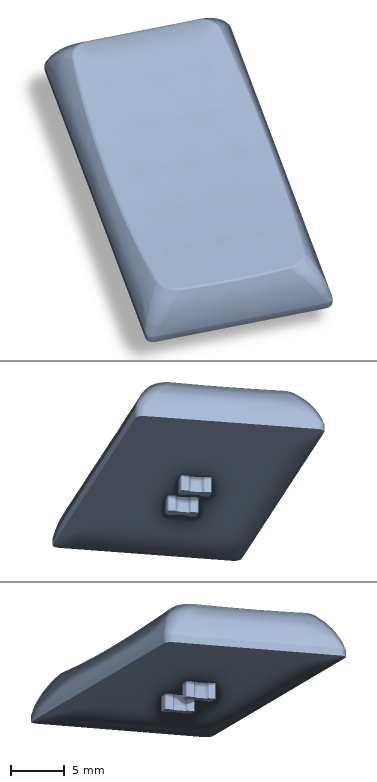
import cadquery as cq
import math

length = 37.0
width = 18.0
skirt_height = 0.7
skirt_corner_radius = 0.75

wall_foot = (0.0, skirt_height)
wall_middle = (0.7, 2.63)
wall_shoulder = (1.85, 4.15)
wall_top = 4.5
corner_radius_growth = 0.28
wall_section_count = 7

dish_floor = 3.22
dish_radius = 138.75
rim_radius = 0.3

prong_spacing = 5.65
prong_thickness = 1.22
prong_width = 2.95
prong_length = 1.48
prong_corner_radius = 0.2
waist_depth = 0.2
waist_floor_width = 1.07
waist_mouth_width = 1.48


def circle_through(first, second, third):
    """Centre and radius of the circle through three points."""
    (ax, ay), (bx, by), (cx, cy) = first, second, third
    twice_area = 2 * (ax * (by - cy) + bx * (cy - ay) + cx * (ay - by))
    a_square = ax**2 + ay**2
    b_square = bx**2 + by**2
    c_square = cx**2 + cy**2
    x = (a_square * (by - cy) + b_square * (cy - ay) + c_square * (ay - by)) / twice_area
    y = (a_square * (cx - bx) + b_square * (ax - cx) + c_square * (bx - ax)) / twice_area
    return x, y, math.hypot(ax - x, ay - y)


def rounded_rectangle(x_size, y_size, radius):
    return cq.Sketch().rect(x_size, y_size).vertices().fillet(radius)


def make_skirt():
    outline = rounded_rectangle(length, width, skirt_corner_radius)
    return cq.Workplane("XY").placeSketch(outline).extrude(skirt_height)


def make_walls():
    """Loft rounded rectangles that shrink along the wall arc as they rise."""
    centre_inset, centre_height, radius = circle_through(wall_foot, wall_middle, wall_shoulder)
    step = (wall_top - skirt_height) / (wall_section_count - 1)
    sections = []
    for index in range(wall_section_count):
        rise = index * step
        height = skirt_height + rise
        inset = centre_inset - math.sqrt(radius**2 - (height - centre_height) ** 2)
        corner_radius = skirt_corner_radius + corner_radius_growth * rise
        outline = rounded_rectangle(length - 2 * inset, width - 2 * inset, corner_radius)
        sections.append(outline.moved(cq.Location(cq.Vector(0, 0, height))))
    return cq.Workplane("XY").placeSketch(*sections).loft()


def make_dish():
    """Sphere with its poles on the X axis, so no pole lands on the top face."""
    ball = cq.Workplane("XY").sphere(dish_radius).rotate((0, 0, 0), (0, 1, 0), 90)
    return ball.translate((0, 0, dish_floor + dish_radius))


def make_prong(x_centre):
    """Rounded bar with a shallow tapered waist on both broad faces."""
    half_thickness = prong_thickness / 2
    half_floor = waist_floor_width / 2
    half_mouth = waist_mouth_width / 2
    prong = (
        cq.Workplane("XY")
        .rect(prong_thickness, prong_width)
        .extrude(-prong_length)
        .edges("|Z")
        .fillet(prong_corner_radius)
    )
    for side in (-1, 1):
        face_x = side * half_thickness
        floor_x = side * (half_thickness - waist_depth)
        waist = (
            cq.Workplane("XY")
            .polyline([
                (face_x, -half_mouth),
                (floor_x, -half_floor),
                (floor_x, half_floor),
                (face_x, half_mouth),
            ])
            .close()
            .extrude(-prong_length)
        )
        prong = prong.cut(waist)
    return prong.translate((x_centre, 0, 0))


cap = make_walls().cut(make_dish())
cap = cap.faces(">Z").edges().fillet(rim_radius)
result = make_skirt().union(cap)
for prong_side in (-1, 1):
    result = result.union(make_prong(prong_side * prong_spacing / 2))